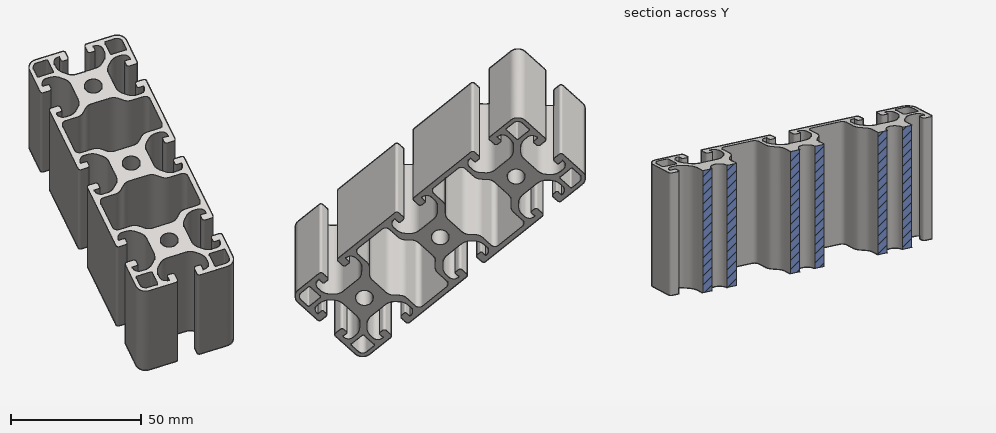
import cadquery as cq
import math

module = 40.0
cells = 3
length = 50.0
width = cells * module
half_module = module / 2
outer_radius = 4.0

core_half = 7.75
bore_diameter = 6.8

slot_opening_half = 4.0
lip_thickness = 2.0
hook_depth = 4.5
hook_width = 3.0
hook_outer_radius = 1.0
hook_inner_radius = 0.5
chamber_half = 10.0
chamber_roof_radius = 2.6
chamber_corner_cut = 4.2
chamber_corner_radius = 5.0
slot_floor_depth = half_module - core_half

web_thickness = 1.75
corner_wall = 1.65
corner_outer_radius = outer_radius - corner_wall
corner_inner_radius = 0.5
large_roof_radius = 2.0
large_bend_radius = 4.0
large_diagonal_sum = 17.75


def rounded_outline(corners):
    """Closed outline through (x, y, radius) corners; a zero radius stays sharp."""
    sketch = None
    for i, (x, y, radius) in enumerate(corners):
        x_before, y_before, _ = corners[i - 1]
        x_after, y_after, _ = corners[(i + 1) % len(corners)]
        to_before = cq.Vector(x_before - x, y_before - y).normalized()
        to_after = cq.Vector(x_after - x, y_after - y).normalized()
        half_angle = to_before.getAngle(to_after) / 2
        corner = cq.Vector(x, y)
        setback = radius / math.tan(half_angle)
        start = corner + to_before * setback
        bisector = (to_before + to_after).normalized()
        middle = corner + bisector * (radius / math.sin(half_angle) - radius)
        end = corner + to_after * setback
        if sketch is None:
            sketch = cq.Workplane("XY").moveTo(start.x, start.y)
        else:
            sketch = sketch.lineTo(start.x, start.y)
        if radius > 0:
            sketch = sketch.threePointArc((middle.x, middle.y), (end.x, end.y))
    return sketch.close()


def prism(corners):
    """Rounded outline extruded over the full profile length."""
    return rounded_outline(corners).extrude(length)


def mirrored(right_half):
    """Complete a right-hand corner list with its mirror image across the Y axis."""
    return right_half + [(-x, y, radius) for x, y, radius in reversed(right_half)]


def slot_cutter():
    """T-slot opening toward +Y, with the profile face on the X axis."""
    hook_back = slot_opening_half + hook_width
    chamber = prism(mirrored([
        (slot_opening_half, 0, 0),
        (slot_opening_half, -hook_depth, hook_outer_radius),
        (hook_back, -hook_depth, hook_inner_radius),
        (hook_back, -lip_thickness, 0),
        (chamber_half, -lip_thickness, chamber_roof_radius),
        (chamber_half, chamber_corner_cut - slot_floor_depth, chamber_corner_radius),
        (chamber_half - chamber_corner_cut, -slot_floor_depth, chamber_corner_radius),
    ]))
    mouth_half = slot_opening_half + hook_outer_radius
    mouth = cq.Workplane("XY").center(0, -hook_outer_radius / 2)
    mouth = mouth.rect(2 * mouth_half, hook_outer_radius).extrude(length)
    hook_rounds = cq.Workplane("XY").pushPoints(
        [(-mouth_half, -hook_outer_radius), (mouth_half, -hook_outer_radius)]
    ).circle(hook_outer_radius).extrude(length)
    return chamber.union(mouth.cut(hook_rounds))


def large_chamber():
    """Void between two neighbouring cores, widest at its waist."""
    wall_half = chamber_half - web_thickness
    waist_half = half_module - core_half
    roof = half_module - lip_thickness
    upper = [
        (waist_half, large_diagonal_sum - waist_half, large_bend_radius),
        (wall_half, large_diagonal_sum - wall_half, large_bend_radius),
        (wall_half, roof, large_roof_radius),
    ]
    lower = [(x, -y, radius) for x, y, radius in reversed(upper)]
    return prism(mirrored(lower + upper))


def corner_chamber(side_x, side_y):
    """Small square void beside one outer corner of the profile."""
    outer_x = side_x * (width / 2 - corner_wall)
    outer_y = side_y * (half_module - corner_wall)
    inner_x = side_x * (width / 2 - chamber_half + web_thickness)
    inner_y = side_y * (half_module - chamber_half + web_thickness)
    return prism([
        (outer_x, outer_y, corner_outer_radius),
        (inner_x, outer_y, corner_inner_radius),
        (inner_x, inner_y, corner_inner_radius),
        (outer_x, inner_y, corner_inner_radius),
    ])


profile = cq.Workplane("XY").rect(width, module).extrude(length).edges("|Z").fillet(outer_radius)

cell_centres = [(i - (cells - 1) / 2) * module for i in range(cells)]
face_slot = slot_cutter().translate((0, half_module, 0))
end_slot = slot_cutter().translate((0, width / 2, 0))
for turn in (0, 180):
    slot = face_slot.rotate((0, 0, 0), (0, 0, 1), turn)
    for x in cell_centres:
        profile = profile.cut(slot.translate((x, 0, 0)))
    profile = profile.cut(end_slot.rotate((0, 0, 0), (0, 0, 1), turn + 90))

bores = cq.Workplane("XY").pushPoints([(x, 0) for x in cell_centres])
profile = profile.cut(bores.circle(bore_diameter / 2).extrude(length))

for x in cell_centres[:-1]:
    profile = profile.cut(large_chamber().translate((x + half_module, 0, 0)))

for side_x in (-1, 1):
    for side_y in (-1, 1):
        profile = profile.cut(corner_chamber(side_x, side_y))

result = profile